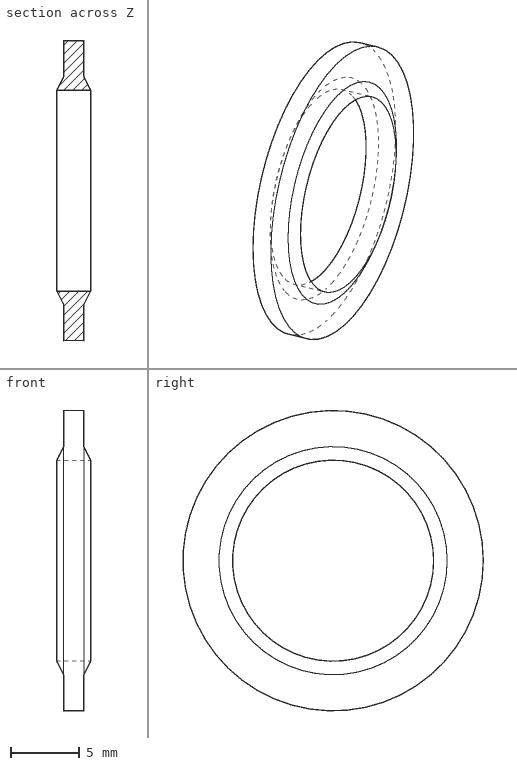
import cadquery as cq

outer_diameter = 22.0
bore_diameter = 14.7
lip_base_diameter = 16.7
flange_thickness = 1.5
overall_width = 2.5

outer_radius = outer_diameter / 2
bore_radius = bore_diameter / 2
lip_base_radius = lip_base_diameter / 2
half_flange = flange_thickness / 2
half_width = overall_width / 2

section = (
    cq.Workplane("XY")
    .moveTo(-half_width, bore_radius)
    .lineTo(half_width, bore_radius)
    .lineTo(half_flange, lip_base_radius)
    .lineTo(half_flange, outer_radius)
    .lineTo(-half_flange, outer_radius)
    .lineTo(-half_flange, lip_base_radius)
    .close()
)

result = section.revolve(360, (0, 0, 0), (1, 0, 0))